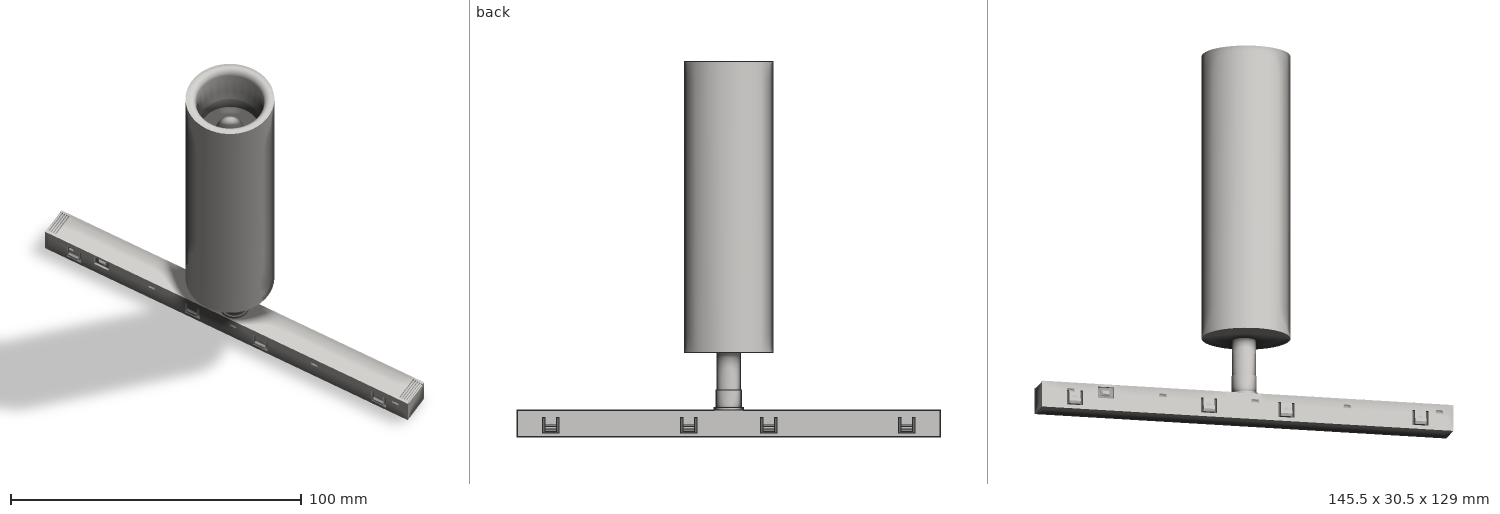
import cadquery as cq
import math


BAR_LENGTH = 145.5
BAR_WIDTH = 10.9
BAR_HEIGHT = 9.2
BAR_OFFSET = 3.0
BAR_HALF = BAR_LENGTH / 2
FACE_Y = BAR_WIDTH / 2

CLIP_CENTRES = (13.7, 61.1)
CLIP_WIDTH = 5.7
CLIP_BOTTOM = 1.3
CLIP_TOP = 6.5
SLOT_WIDTH = 0.9
SLOT_DEPTH = 1.5
TONGUE_WIDTH = CLIP_WIDTH - 2 * SLOT_WIDTH
TONGUE_BOTTOM = 1.7
NUB_TOP = 4.1
NUB_FLAT_TOP = 3.5
NUB_FLAT_BOTTOM = 2.6
NUB_HEIGHT = 0.6

DIMPLE_COUNT = 5
DIMPLE_PITCH = 32.6
FIRST_DIMPLE_X = -62.5
DIMPLE_Z = 6.4
DIMPLE_LENGTH = 2.6
DIMPLE_HEIGHT = 1.3
DIMPLE_DEPTH = 0.5
DIMPLE_TAPER = 45.0

WINDOW_X = -50.0
WINDOW_Z = 6.3
WINDOW_LENGTH = 5.7
WINDOW_HEIGHT = 4.0
WINDOW_DEPTH = 0.9
BUTTON_LENGTH = 3.5
BUTTON_HEIGHT = 2.2
BUTTON_RISE = 0.7
BUTTON_TAPER = 45.0

GROOVE_COUNT = 5
GROOVE_WIDTH = 0.5
GROOVE_DEPTH = 0.5
GROOVE_PITCH = 2 * GROOVE_WIDTH
PLUG_LENGTH = (2 * GROOVE_COUNT - 1) * GROOVE_WIDTH
PLUG_WIDTH = 9.2
PLUG_BOTTOM = 4.0
PLUG_HEIGHT = BAR_HEIGHT - PLUG_BOTTOM

FLANGE_DIAMETER = 10.0
FLANGE_HEIGHT = 0.9
SOCKET_DIAMETER = 8.7
SOCKET_TOP = 16.2
ROD_DIAMETER = 8.1

HOUSING_DIAMETER = 30.5
HOUSING_HEIGHT = 100.1
HOUSING_TOP = 129.0
HOUSING_BOTTOM = HOUSING_TOP - HOUSING_HEIGHT

REFLECTOR_DIAMETER = 28.0
THROAT_DIAMETER = 23.4
WELL_DIAMETER = 21.0
WELL_TOP_DEPTH = 13.5
WELL_DEPTH = 4.4
FLOOR_DEPTH = WELL_TOP_DEPTH + WELL_DEPTH
FLOOR_THICKNESS = 1.5
LIP_RADIUS = (REFLECTOR_DIAMETER - THROAT_DIAMETER) / 2
REFLECTOR_HEIGHT = FLOOR_DEPTH + FLOOR_THICKNESS
FLOOR_Z = HOUSING_TOP - FLOOR_DEPTH

LENS_DIAMETER = 10.0


def cylinder(diameter, bottom, top, y=0.0):
    return cq.Workplane("XY", origin=(0, y, bottom)).circle(diameter / 2).extrude(top - bottom)


def side_face(x, z, depth=0.0):
    """Workplane parallel to the bar's -Y side face, sunk by depth, facing outwards."""
    return cq.Workplane("XZ", origin=(x, depth - FACE_Y, z))


def clip_slot(x):
    """U-shaped slot in the -Y side face."""
    height = CLIP_TOP - CLIP_BOTTOM
    outer = side_face(x, CLIP_BOTTOM + height / 2).rect(CLIP_WIDTH, height).extrude(-SLOT_DEPTH)
    tongue_height = CLIP_TOP - TONGUE_BOTTOM
    tongue = (
        side_face(x, TONGUE_BOTTOM + tongue_height / 2)
        .rect(TONGUE_WIDTH, tongue_height)
        .extrude(-SLOT_DEPTH)
    )
    return outer.cut(tongue)


def clip_nub(x):
    """Latch nub on the tongue, with sloping upper and lower flanks."""
    return (
        cq.Workplane("YZ", origin=(x - TONGUE_WIDTH / 2, -FACE_Y, 0))
        .moveTo(SLOT_DEPTH, TONGUE_BOTTOM)
        .lineTo(0, TONGUE_BOTTOM)
        .lineTo(-NUB_HEIGHT, NUB_FLAT_BOTTOM)
        .lineTo(-NUB_HEIGHT, NUB_FLAT_TOP)
        .lineTo(0, NUB_TOP)
        .lineTo(SLOT_DEPTH, NUB_TOP)
        .close()
        .extrude(TONGUE_WIDTH)
    )


def dimple(x):
    """Rectangular dimple that narrows towards its floor."""
    return (
        side_face(x, DIMPLE_Z)
        .rect(DIMPLE_LENGTH, DIMPLE_HEIGHT)
        .extrude(-DIMPLE_DEPTH, taper=DIMPLE_TAPER)
    )


def window_recess():
    """Rectangular recess with a raised frustum button on its floor."""
    recess = side_face(WINDOW_X, WINDOW_Z).rect(WINDOW_LENGTH, WINDOW_HEIGHT).extrude(-WINDOW_DEPTH)
    button = (
        side_face(WINDOW_X, WINDOW_Z, WINDOW_DEPTH)
        .rect(BUTTON_LENGTH, BUTTON_HEIGHT)
        .extrude(BUTTON_RISE, taper=BUTTON_TAPER)
    )
    return recess.cut(button)


def plug_block(side):
    """Plain block that fills the pocket at one end of the bar (side is -1 or 1)."""
    centre = side * (BAR_HALF - PLUG_LENGTH / 2)
    return (
        cq.Workplane("XY", origin=(centre, BAR_OFFSET, PLUG_BOTTOM))
        .rect(PLUG_LENGTH, PLUG_WIDTH)
        .extrude(PLUG_HEIGHT)
    )


def make_bar():
    bar = cq.Workplane("XY").box(BAR_LENGTH, BAR_WIDTH, BAR_HEIGHT, centered=(True, True, False))
    for distance in CLIP_CENTRES:
        for x in (-distance, distance):
            slot = clip_slot(x)
            nub = clip_nub(x)
            bar = bar.cut(slot).cut(slot.mirror("XZ"))
            bar = bar.union(nub).union(nub.mirror("XZ"))
    for i in range(DIMPLE_COUNT):
        bar = bar.cut(dimple(FIRST_DIMPLE_X + i * DIMPLE_PITCH))
    bar = bar.cut(window_recess()).translate((0, BAR_OFFSET, 0))
    for side in (-1, 1):
        bar = bar.cut(plug_block(side))
    return bar


def make_plug(side):
    """End plug with grooves across its top; the outermost groove opens to the bar end."""
    plug = plug_block(side)
    for i in range(GROOVE_COUNT):
        x = side * (BAR_HALF - GROOVE_WIDTH / 2 - i * GROOVE_PITCH)
        groove = (
            cq.Workplane("XY", origin=(x, BAR_OFFSET, BAR_HEIGHT))
            .rect(GROOVE_WIDTH, PLUG_WIDTH)
            .extrude(-GROOVE_DEPTH)
        )
        plug = plug.cut(groove)
    return plug


def make_socket():
    """Flanged lower part of the stem, standing on the bar."""
    flange = cylinder(FLANGE_DIAMETER, BAR_HEIGHT, BAR_HEIGHT + FLANGE_HEIGHT, BAR_OFFSET)
    return flange.union(cylinder(SOCKET_DIAMETER, BAR_HEIGHT, SOCKET_TOP, BAR_OFFSET))


def make_rod():
    return cylinder(ROD_DIAMETER, SOCKET_TOP, HOUSING_BOTTOM, BAR_OFFSET)


def make_housing():
    bore = cylinder(REFLECTOR_DIAMETER, HOUSING_TOP - REFLECTOR_HEIGHT, HOUSING_TOP)
    return cylinder(HOUSING_DIAMETER, HOUSING_BOTTOM, HOUSING_TOP).cut(bore)


def make_reflector():
    """Cup with a rounded lip, a wall that curves inwards and a straight well with a flat floor."""
    rim = REFLECTOR_DIAMETER / 2
    throat = THROAT_DIAMETER / 2
    well = WELL_DIAMETER / 2
    throat_z = HOUSING_TOP - LIP_RADIUS
    lip_offset = LIP_RADIUS * (1 - math.sqrt(0.5))
    return (
        cq.Workplane("XZ")
        .moveTo(0, HOUSING_TOP - REFLECTOR_HEIGHT)
        .lineTo(rim, HOUSING_TOP - REFLECTOR_HEIGHT)
        .lineTo(rim, HOUSING_TOP)
        .threePointArc((throat + lip_offset, HOUSING_TOP - lip_offset), (throat, throat_z))
        .tangentArcPoint((well, HOUSING_TOP - WELL_TOP_DEPTH), relative=False)
        .lineTo(well, FLOOR_Z)
        .lineTo(0, FLOOR_Z)
        .close()
        .revolve(360, (0, 0, 0), (0, 1, 0))
    )


def make_lens():
    """Hemispherical dome resting on the reflector floor."""
    radius = LENS_DIAMETER / 2
    return (
        cq.Workplane("XZ", origin=(0, 0, FLOOR_Z))
        .lineTo(radius, 0)
        .radiusArc((0, radius), -radius)
        .close()
        .revolve(360, (0, 0, 0), (0, 1, 0))
    )


housing = make_housing()
reflector = make_reflector()
lens = make_lens()
rod = make_rod()
socket = make_socket()
bar = make_bar()
plugs = [make_plug(side) for side in (-1, 1)]

result = cq.Compound.makeCompound(
    [housing.val(), reflector.val(), lens.val(), rod.val(), socket.val(), bar.val()]
    + [plug.val() for plug in plugs]
)